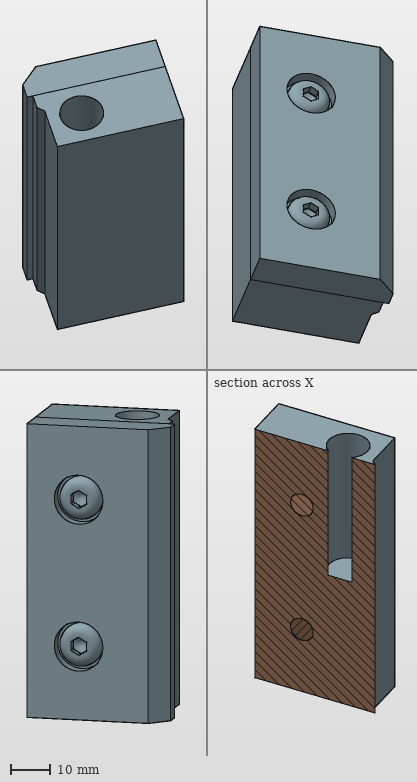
import cadquery as cq
import math

width = 26.2
depth = 36.5
height = 76.2

plate_thickness = 8.85
plate_chamfer = 4.7

block_front = 3.1
lip_front = 1.5
lip_width = 3.9
lip_slope = block_front - lip_front

bore_diameter = 11.1
bore_depth = 38.1
bore_x = (plate_thickness + width) / 2
bore_y = 12.0

screw_y = 22.9
screw_heights = [height / 4, 3 * height / 4]
counterbore_diameter = 12.7
counterbore_depth = 3.6
head_diameter = 11.1
head_height = 3.35
crown_diameter = 5.95
shank_diameter = 6.3
shank_length = 14.5
socket_across_flats = 4.05
socket_depth = 2.45
socket_tip_depth = 1.15


def x_cylinder(diameter, start_x, length, z):
    """Cylinder along +X on a screw axis."""
    return cq.Workplane("YZ", origin=(start_x, screw_y, z)).circle(diameter / 2).extrude(length)


def make_plate():
    """Plate with one chamfered edge and a counterbored hole for each screw."""
    plate = (
        cq.Workplane("XY")
        .moveTo(plate_chamfer, 0)
        .lineTo(plate_thickness, 0)
        .lineTo(plate_thickness, depth)
        .lineTo(0, depth)
        .lineTo(0, plate_chamfer)
        .close()
        .extrude(height)
    )
    for z in screw_heights:
        plate = plate.cut(x_cylinder(counterbore_diameter, 0, counterbore_depth, z))
        plate = plate.cut(x_cylinder(shank_diameter, 0, plate_thickness, z))
    return plate


def make_block():
    """Block with a stepped front, a blind bore and holes for the screw shanks."""
    lip_end = plate_thickness + lip_width
    block = (
        cq.Workplane("XY")
        .moveTo(plate_thickness, lip_front)
        .lineTo(lip_end, lip_front)
        .lineTo(lip_end + lip_slope, block_front)
        .lineTo(width, block_front)
        .lineTo(width, depth)
        .lineTo(plate_thickness, depth)
        .close()
        .extrude(height)
    )
    bore = (
        cq.Workplane("XY", origin=(bore_x, bore_y, height - bore_depth))
        .circle(bore_diameter / 2)
        .extrude(bore_depth)
    )
    block = block.cut(bore)
    for z in screw_heights:
        block = block.cut(x_cylinder(shank_diameter, counterbore_depth, shank_length, z))
    return block


def make_socket(head_top, z):
    """Hexagonal socket with corners up and down and a conical bottom."""
    corner_diameter = socket_across_flats / math.cos(math.pi / 6)
    hexagon = (
        cq.Workplane("YZ", origin=(head_top, screw_y, z))
        .transformed(rotate=(0, 0, 90))
        .polygon(6, corner_diameter)
        .extrude(socket_depth)
    )
    cone = cq.Solid.makeCone(
        corner_diameter / 2,
        0,
        socket_tip_depth,
        pnt=cq.Vector(head_top + socket_depth, screw_y, z),
        dir=cq.Vector(1, 0, 0),
    )
    return hexagon.union(cq.Workplane(cone))


def make_screw(z):
    """Screw with a domed head seated on the counterbore floor."""
    head_top = counterbore_depth - head_height
    head_radius = head_diameter / 2
    crown_radius = crown_diameter / 2
    dome_radius = head_radius - crown_radius
    dome_base = head_top + dome_radius
    dome_mid = (
        dome_base - dome_radius * math.sqrt(0.5),
        screw_y + crown_radius + dome_radius * math.sqrt(0.5),
    )
    head = (
        cq.Workplane("XY", origin=(0, 0, z))
        .moveTo(head_top, screw_y)
        .lineTo(head_top, screw_y + crown_radius)
        .threePointArc(dome_mid, (dome_base, screw_y + head_radius))
        .lineTo(counterbore_depth, screw_y + head_radius)
        .lineTo(counterbore_depth, screw_y)
        .close()
        .revolve(360, (0, screw_y), (1, screw_y))
    )
    shank = x_cylinder(shank_diameter, counterbore_depth, shank_length, z)
    return head.union(shank).cut(make_socket(head_top, z))


plate = make_plate()
block = make_block()
screws = [make_screw(z) for z in screw_heights]

result = cq.Compound.makeCompound([plate.val(), block.val(), *[screw.val() for screw in screws]])